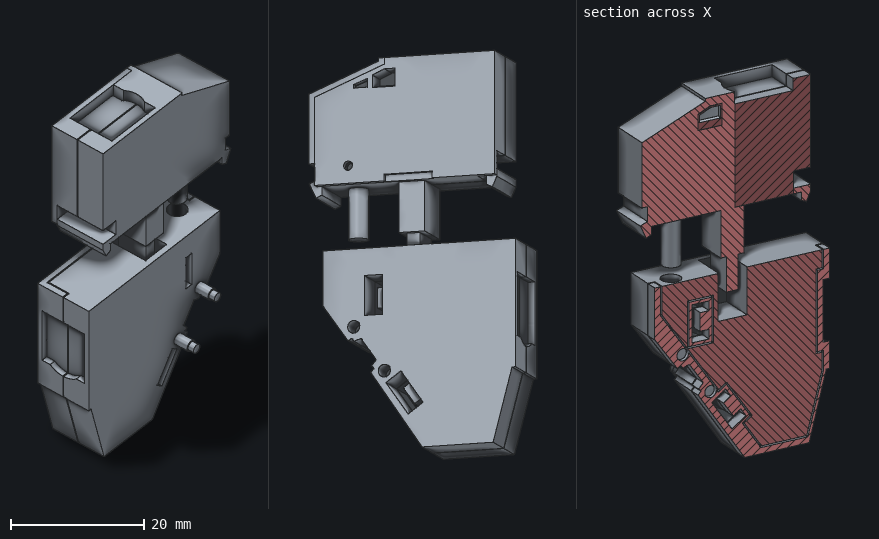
import cadquery as cq


WIDTH = 10.05
MID_X = WIDTH / 2
PLATE = 0.95
SEAM = 0.2
RECESS_SIDE = 0.9
RECESS_WIDTH = WIDTH - 2 * RECESS_SIDE

SOCKET_TOP = 30.95
SOCKET_BACK = 30.5
SOCKET_CHIN = 11.3
SOCKET_OUTLINE = [
    (0, SOCKET_TOP), (0, SOCKET_CHIN), (0.55, SOCKET_CHIN), (3.55, 0), (14.8, 0),
    (22.95, 11.9), (22.4, 12.45), (22.8, 12.9), (22.05, 13.8),
    (24.45, 17.2), (25.5, 16.85), (25.95, 17.3), (26.3, 17.0), (26.6, 17.1),
    (SOCKET_BACK, 22.5), (SOCKET_BACK, SOCKET_TOP),
]
CORE_OUTLINE = [
    (0, SOCKET_TOP), (0, SOCKET_CHIN), (3.0, 0), (12.5, 0), (24.45, 17.2),
    (SOCKET_BACK, 25.9), (SOCKET_BACK, SOCKET_TOP),
]
SOCKET_WALL = 1.1
SOCKET_RECESS_DEPTH = 1.1
SOCKET_RECESS_BOTTOM = 16.3
SOCKET_RECESS_TOP = 26.0
SOCKET_BULGE = 0.9
SOCKET_BULGE_HALF = 2.6
PAD_MARGIN = 1.8

COUPLINGS = [(25.6, 19.05), (20.7, 12.05)]
COUPLING_DIA = 1.9
COUPLING_LENGTH = 2.6
COUPLING_TIP_DIA = 1.5
COUPLING_TIP_LENGTH = 1.1
COUPLING_HOLE_DEPTH = COUPLING_LENGTH + COUPLING_TIP_LENGTH

WIRE_SLOTS = [(22.45, 23.7, 0), (17.55, 8.5, -35)]
SLOT_HEIGHT = 6.1
SLOT_WIDTH = 2.9
SLOT_OPENING = 1.3
SLOT_LEDGE = 0.55
SLOT_SHELF_HEIGHT = 3.1
SLOT_SHELF_DEPTH = 2.4
SLOT_LEDGE_DEPTH = 5.15
SLOT_FRAME = 0.6

PLUG_FRONT = 3.3
PLUG_BOTTOM = 41.05
PLUG_TOP = 59.9
PLUG_HEIGHT = PLUG_TOP - PLUG_BOTTOM
SHELL_BACK = 32.7
SHELL_BOTTOM = 44.4
PLUG_BACK = 31.75
PLUG_OUTLINE = [
    (PLUG_FRONT, PLUG_BOTTOM), (PLUG_FRONT, PLUG_TOP), (21.7, PLUG_TOP), (21.7, 59.4),
    (SHELL_BACK, 55.05), (SHELL_BACK, SHELL_BOTTOM), (PLUG_BACK, SHELL_BOTTOM), (PLUG_BACK, PLUG_BOTTOM),
]
PLUG_PLATE_OUTLINE = [
    (PLUG_FRONT, PLUG_BOTTOM), (PLUG_FRONT, PLUG_TOP), (20.7, PLUG_TOP), (20.7, 58.9),
    (PLUG_BACK, 54.5), (PLUG_BACK, PLUG_BOTTOM),
]
PLUG_RECESS_DEPTH = 2.0
PLUG_RECESS_FRONT = 6.4
PLUG_RECESS_BACK = 16.5
PLUG_BULGE = 0.6
PLUG_BULGE_HALF = 2.05

HOOK_LEFT = 1.1
HOOK_TOP = 42.05
HOOK_BACK = 5.0
NOTCH_BACK = 6.3
NOTCH_TOP = 44.75
FRONT_HOOK = [
    (NOTCH_BACK, HOOK_TOP), (PLUG_FRONT, HOOK_TOP), (PLUG_FRONT, 40.85), (4.0, 39.3),
    (HOOK_BACK, 39.7), (HOOK_BACK, PLUG_BOTTOM), (NOTCH_BACK, PLUG_BOTTOM),
]
BACK_HOOK = [
    (30.95, PLUG_BOTTOM), (30.95, 39.7), (31.9, 39.3), (33.0, 41.6), (31.75, HOOK_TOP), (31.75, PLUG_BOTTOM),
]

CONTACT_END = 33.3
PIN_Y = 26.5
PIN_DIA = 3.05
BLADE_X = 5.1
BLADE_Y = 16.9
BLADE_WIDTH = 7.2
BLADE_THICKNESS = 4.1
TONGUE_Y = 16.95
TONGUE_WIDTH = 5.4
TONGUE_THICKNESS = 2.05
TONGUE_END = 27.55
PIN_HOLE_DIA = 3.25
PIN_HOLE_DEPTH = 7.8
BLADE_HOLE_RIGHT = 9.0
BLADE_HOLE_THICKNESS = 4.9
BLADE_HOLE_DEPTH = 7.8

TEST_HOLE = (PIN_Y, 43.7)
TEST_HOLE_DIA = 1.4
TEST_HOLE_DEPTH = 1.8
WINDOW_OUTLINE = [(19.05, 55.2), (22.65, 55.2), (22.65, 57.3), (20.7, 58.15), (19.05, 58.15)]
WINDOW_DEPTH = 3.6
WINDOW_RAMP = [(0, 55.2), (0, 55.4), (WINDOW_DEPTH, 56.3), (WINDOW_DEPTH, 55.2)]
WINDOW_FRAME = 0.35
KEY_OUTLINE = [(23.4, 55.5), (25.6, 55.5), (25.6, 56.05), (23.4, 56.85)]
KEY_DEPTH = 1.2
SLIT_FRONT = 13.2
SLIT_BACK = 20.8
SLIT_TOP = 42.05
SLIT_DEPTH = 0.6


def box(x_range, y_range, z_range):
    """Axis-aligned box between the given limits."""
    (x0, x1), (y0, y1), (z0, z1) = x_range, y_range, z_range
    return cq.Workplane("XY").box(x1 - x0, y1 - y0, z1 - z0, centered=False).translate((x0, y0, z0))


def slab(outline, x_start, x_end):
    """Y-Z outline extruded along X."""
    return cq.Workplane("YZ", origin=(x_start, 0, 0)).polyline(outline).close().extrude(x_end - x_start)


def rod(centre, diameter, x_start, length):
    """Cylinder along X at a (Y, Z) centre."""
    return cq.Workplane("YZ", origin=(x_start, 0, 0)).center(*centre).circle(diameter / 2).extrude(length)


def bulge_radius(half_chord, rise):
    """Radius of an arc from its half chord and its rise."""
    return (half_chord**2 + rise**2) / (2 * rise)



def slot_frame(clearance, y, z, tilt):
    """Solid block of the cover that surrounds a wire slot up to the middle."""
    margin = 2 * (SLOT_FRAME + clearance)
    length = MID_X + SEAM / 2
    block = cq.Workplane("YZ").rect(SLOT_WIDTH + margin, SLOT_HEIGHT + margin).extrude(length)
    return block.rotate((0, 0, 0), (1, 0, 0), tilt).translate((0, y, z))


def socket_core(clearance):
    """Block that fills the cover; with no clearance it is the cover's cavity."""
    inset = SOCKET_WALL + clearance
    profile = cq.Workplane("YZ", origin=(PLATE + clearance, 0, 0)).polyline(CORE_OUTLINE).close()
    block = profile.offset2D(-inset, "intersection").extrude(MID_X + SEAM - PLATE - clearance)
    block = block.faces(">Z").wires().toPending().workplane().extrude(inset)
    pad = box(
        (0, MID_X + SEAM / 2),
        (0, inset + SOCKET_RECESS_DEPTH),
        (SOCKET_RECESS_BOTTOM - PAD_MARGIN - clearance, SOCKET_RECESS_TOP + PAD_MARGIN + clearance),
    )
    core = block.cut(pad)
    for slot in WIRE_SLOTS:
        core = core.cut(slot_frame(clearance, *slot))
    return core


def socket_recess():
    """Finger recess in the front face, with a rounded lower edge."""
    radius = bulge_radius(SOCKET_BULGE_HALF, SOCKET_BULGE)
    recess = box(
        (RECESS_SIDE, RECESS_SIDE + RECESS_WIDTH),
        (0, SOCKET_RECESS_DEPTH),
        (SOCKET_RECESS_BOTTOM, SOCKET_RECESS_TOP),
    )
    disc = (
        cq.Workplane("XZ").center(MID_X, SOCKET_RECESS_BOTTOM - SOCKET_BULGE + radius)
        .circle(radius).extrude(-SOCKET_RECESS_DEPTH)
    )
    return recess.union(disc)


def wire_slot(y, z, tilt):
    """Through opening with a middle shelf between two steep ramps."""
    outer = SLOT_WIDTH / 2
    inner = outer - SLOT_OPENING
    half = SLOT_HEIGHT / 2
    ramp_profile = [
        (0, -outer), (SLOT_LEDGE_DEPTH, -outer), (SLOT_LEDGE_DEPTH, SLOT_LEDGE - outer),
        (WIDTH, inner), (WIDTH, outer), (0, outer),
    ]
    slot = cq.Workplane("XY", origin=(0, 0, -half)).polyline(ramp_profile).close().extrude(SLOT_HEIGHT)
    half_shelf = SLOT_SHELF_HEIGHT / 2
    shelf = box((SLOT_SHELF_DEPTH, WIDTH), (-outer, inner), (-half_shelf, half_shelf))
    return slot.cut(shelf).rotate((0, 0, 0), (1, 0, 0), tilt).translate((0, y, z))


def socket_cuts():
    """Finger recess, and the wire slots and coupling holes that enter from the -X side."""
    cuts = socket_recess()
    for slot in WIRE_SLOTS:
        cuts = cuts.union(wire_slot(*slot))
    for centre in COUPLINGS:
        cuts = cuts.union(rod(centre, COUPLING_DIA, 0, COUPLING_HOLE_DEPTH))
    return cuts


def make_socket_cover():
    shell = slab(SOCKET_OUTLINE, 0, MID_X - SEAM / 2)
    return shell.cut(socket_core(0)).cut(socket_cuts())


def make_socket_housing():
    body = slab(SOCKET_OUTLINE, MID_X + SEAM / 2, WIDTH).union(socket_core(SEAM))
    body = body.cut(socket_cuts())
    pin_hole = (
        cq.Workplane("XY", origin=(MID_X, PIN_Y, SOCKET_TOP))
        .circle(PIN_HOLE_DIA / 2).extrude(-PIN_HOLE_DEPTH)
    )
    blade_hole = box(
        (PLATE, BLADE_HOLE_RIGHT),
        (BLADE_Y - BLADE_HOLE_THICKNESS / 2, BLADE_Y + BLADE_HOLE_THICKNESS / 2),
        (SOCKET_TOP - BLADE_HOLE_DEPTH, SOCKET_TOP),
    )
    body = body.cut(pin_hole).cut(blade_hole)
    for centre in COUPLINGS:
        body = body.union(rod(centre, COUPLING_DIA, WIDTH, COUPLING_LENGTH))
        body = body.union(rod(centre, COUPLING_TIP_DIA, WIDTH + COUPLING_LENGTH, COUPLING_TIP_LENGTH))
    return body



def plug_bulge(z_start, height):
    """Upright disc that rounds out the rear edge of the plug's finger recess."""
    radius = bulge_radius(PLUG_BULGE_HALF, PLUG_BULGE)
    centre = (MID_X, PLUG_RECESS_BACK + PLUG_BULGE - radius, z_start)
    return cq.Workplane("XY", origin=centre).circle(radius).extrude(height)


def plug_recess():
    """Finger recess in the top face, with a rounded rear edge."""
    floor = PLUG_TOP - PLUG_RECESS_DEPTH
    recess = box(
        (PLATE, RECESS_SIDE + RECESS_WIDTH),
        (PLUG_RECESS_FRONT, PLUG_RECESS_BACK),
        (floor, PLUG_TOP),
    )
    return recess.union(plug_bulge(floor, PLUG_RECESS_DEPTH))


def front_half(x_end, y_end):
    """Front block of the cover, reaching from the plate side to the middle."""
    z_range = (PLUG_BOTTOM, PLUG_TOP)
    block = box((0, x_end), (PLUG_FRONT, y_end), z_range)
    limit = box((0, x_end), (PLUG_FRONT, PLUG_BACK), z_range)
    return block.union(plug_bulge(PLUG_BOTTOM, PLUG_HEIGHT).intersect(limit))


def window_frame():
    """Block of the cover that lines the window."""
    profile = cq.Workplane("YZ").polyline(WINDOW_OUTLINE).close().offset2D(WINDOW_FRAME, "intersection")
    return profile.extrude(WINDOW_DEPTH + WINDOW_FRAME)


def plug_cuts():
    """Recess, hook notch, windows, test hole and bottom slit."""
    ramp = (
        cq.Workplane("XZ", origin=(0, PLUG_BACK, 0)).polyline(WINDOW_RAMP).close()
        .extrude(PLUG_BACK - PLUG_FRONT)
    )
    window = slab(WINDOW_OUTLINE, 0, WINDOW_DEPTH).cut(ramp)
    notch = box((HOOK_LEFT, WIDTH), (PLUG_FRONT, NOTCH_BACK), (PLUG_BOTTOM, NOTCH_TOP))
    slit = box((0, SLIT_DEPTH), (SLIT_FRONT, SLIT_BACK), (PLUG_BOTTOM, SLIT_TOP))
    key = slab(KEY_OUTLINE, 0, KEY_DEPTH)
    test_hole = rod(TEST_HOLE, TEST_HOLE_DIA, 0, TEST_HOLE_DEPTH)
    return plug_recess().union(window).union(notch).union(slit).union(key).union(test_hole)


def make_plug_cover():
    body = slab(PLUG_PLATE_OUTLINE, 0, PLATE).union(window_frame())
    body = body.union(front_half(MID_X - SEAM / 2, PLUG_RECESS_BACK - SEAM))
    return body.cut(plug_cuts())


def make_plug_housing():
    body = slab(PLUG_OUTLINE, 0, WIDTH).cut(slab(PLUG_PLATE_OUTLINE, 0, PLATE)).cut(window_frame())
    body = body.cut(front_half(MID_X + SEAM / 2, PLUG_RECESS_BACK)).cut(plug_cuts())
    for hook in (FRONT_HOOK, BACK_HOOK):
        body = body.union(slab(hook, HOOK_LEFT, WIDTH))
    contacts = cq.Workplane("XY", origin=(0, 0, PLUG_BOTTOM))
    drop = PLUG_BOTTOM - CONTACT_END
    pin = contacts.center(MID_X, PIN_Y).circle(PIN_DIA / 2).extrude(-drop)
    blade = contacts.center(BLADE_X, BLADE_Y).rect(BLADE_WIDTH, BLADE_THICKNESS).extrude(-drop)
    tongue = (
        contacts.center(BLADE_X, TONGUE_Y).rect(TONGUE_WIDTH, TONGUE_THICKNESS)
        .extrude(TONGUE_END - PLUG_BOTTOM)
    )
    return body.union(pin).union(blade).union(tongue)


socket_cover = make_socket_cover()
socket_housing = make_socket_housing()
plug_cover = make_plug_cover()
plug_housing = make_plug_housing()

result = cq.Compound.makeCompound([
    *socket_cover.vals(),
    *socket_housing.vals(),
    *plug_cover.vals(),
    *plug_housing.vals(),
])